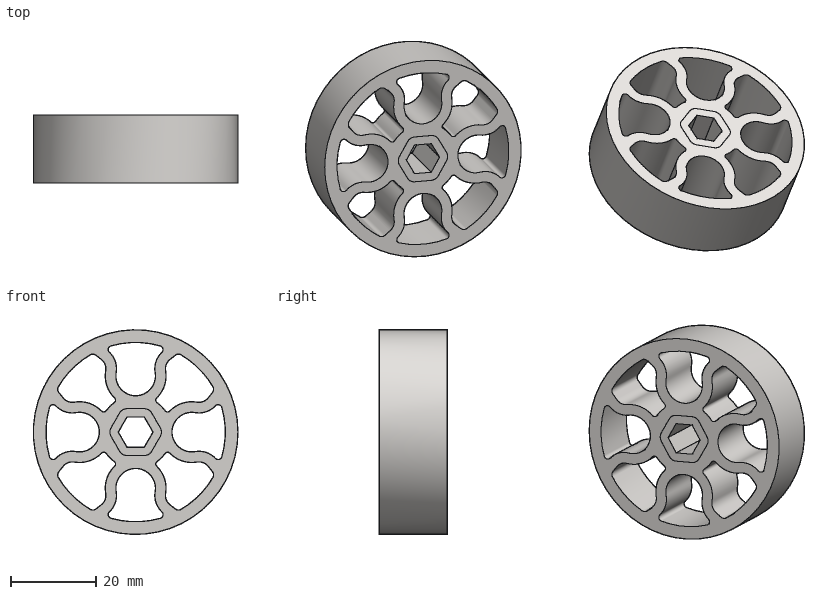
import cadquery as cq
import math

wheel_diameter = 48.0
wheel_width = 16.0
rim_inner_radius = 21.0
hub_radius = 8.55
pocket_pairs = 4

spoke_thickness = 2.55
bulb_radius = 4.6
bend_radius = 5.3
bend_center_radius = 17.75
bulb_corner_radius = 0.85
kite_corner_radius = 1.2
kite_corner_angle = 14.5
kite_tip_radius = 0.7

hex_sides = 6
insert_across_flats = 11.0
insert_corner_radius = 2.0
bore_across_flats = 7.0

pair_angle = 360 / pocket_pairs
half_pair_angle = pair_angle / 2
kite_bulb_radius = bulb_radius + spoke_thickness
kite_bend_radius = bend_radius - spoke_thickness
axle = cq.Vector(0, 0, 0)
back_plane = cq.Workplane("XZ", origin=(0, wheel_width / 2, 0))


def polar(radius, angle):
    """Point in the XZ plane at an angle (degrees) from +Z towards +X."""
    turn = math.radians(angle)
    return cq.Vector(radius * math.sin(turn), 0, radius * math.cos(turn))


def angle_of(point):
    """Angle in degrees of a point, measured from +Z towards +X."""
    return math.degrees(math.atan2(point.x, point.z))


def toward(start, target, distance):
    """Point at a distance from start along the ray to target."""
    return start + (target - start).normalized() * distance


def center_from_axle(axle_distance, other, other_distance, side):
    """Point at given distances from the axle and another point, beyond it (+1) or before it (-1) in angle."""
    cosine = (axle_distance**2 + other.Length**2 - other_distance**2) / (2 * axle_distance * other.Length)
    return polar(axle_distance, angle_of(other) + side * math.degrees(math.acos(cosine)))


def arc(center, start, end):
    """Shorter arc from start to end about center."""
    middle = toward(center, (start + end) * 0.5, (start - center).Length)
    return cq.Edge.makeThreePointArc(start, middle, end)


def pocket_cutter(half_outline):
    """Full-width prism from half an outline, mirrored about the Z axis."""
    mirrored_half = [edge.mirror("YZ") for edge in half_outline]
    outline = cq.Wire.assembleEdges(half_outline + mirrored_half[::-1])
    prism = cq.Solid.extrudeLinear(outline, [], cq.Vector(0, wheel_width, 0)).clean()
    return prism.translate(cq.Vector(0, -wheel_width / 2, 0))


bulb_center = polar(hub_radius + bulb_radius, 0)
bend_center = center_from_axle(bend_center_radius, bulb_center, bulb_radius + bend_radius, 1)


def bulb_pocket():
    corner_center = center_from_axle(
        rim_inner_radius - bulb_corner_radius, bend_center, bend_radius + bulb_corner_radius, -1
    )
    inner_end = polar(hub_radius, 0)
    bulb_to_bend = toward(bulb_center, bend_center, bulb_radius)
    bend_to_corner = toward(bend_center, corner_center, bend_radius)
    corner_to_rim = toward(axle, corner_center, rim_inner_radius)
    outer_end = polar(rim_inner_radius, 0)
    return pocket_cutter([
        arc(bulb_center, inner_end, bulb_to_bend),
        arc(bend_center, bulb_to_bend, bend_to_corner),
        arc(corner_center, bend_to_corner, corner_to_rim),
        arc(axle, corner_to_rim, outer_end),
    ])


def kite_pocket():
    """Kite pocket turned onto +Z, so the neighbouring bulb lies half a pair away."""
    near_bulb = polar(bulb_center.Length, half_pair_angle)
    near_bend = polar(bend_center_radius, half_pair_angle - angle_of(bend_center))
    tip_center = center_from_axle(
        hub_radius + kite_tip_radius, near_bulb, kite_bulb_radius + kite_tip_radius, -1
    )
    corner_center = polar(rim_inner_radius - kite_corner_radius, kite_corner_angle)

    bend_to_corner = corner_center - near_bend
    lean = math.degrees(math.acos((kite_bend_radius - kite_corner_radius) / bend_to_corner.Length))
    outward = polar(1, angle_of(bend_to_corner) + lean)
    line_start = near_bend + outward * kite_bend_radius
    line_end = corner_center + outward * kite_corner_radius

    inner_end = polar(hub_radius, 0)
    hub_to_tip = toward(axle, tip_center, hub_radius)
    tip_to_bulb = toward(near_bulb, tip_center, kite_bulb_radius)
    bulb_to_bend = toward(near_bulb, near_bend, kite_bulb_radius)
    corner_to_rim = toward(axle, corner_center, rim_inner_radius)
    outer_end = polar(rim_inner_radius, 0)
    return pocket_cutter([
        arc(axle, inner_end, hub_to_tip),
        arc(tip_center, hub_to_tip, tip_to_bulb),
        arc(near_bulb, tip_to_bulb, bulb_to_bend),
        arc(near_bend, bulb_to_bend, line_start),
        cq.Edge.makeLine(line_start, line_end),
        arc(corner_center, line_end, corner_to_rim),
        arc(axle, corner_to_rim, outer_end),
    ])


def hex_prism(across_flats):
    across_corners = across_flats / math.cos(math.pi / hex_sides)
    return back_plane.polygon(hex_sides, across_corners).extrude(wheel_width)


def insert_blank():
    """Solid hexagon with rounded corners, also the shape of its seat in the wheel."""
    return hex_prism(insert_across_flats).edges("|Y").fillet(insert_corner_radius)


def make_wheel():
    disc = back_plane.circle(wheel_diameter / 2).extrude(wheel_width)
    body = disc.cut(insert_blank())
    bulb = bulb_pocket()
    kite = kite_pocket()
    for index in range(pocket_pairs):
        turn = index * pair_angle
        body = body.cut(cq.Workplane(bulb.rotate((0, 0, 0), (0, 1, 0), turn)))
        body = body.cut(cq.Workplane(kite.rotate((0, 0, 0), (0, 1, 0), turn + half_pair_angle)))
    return body.solids()


def make_insert():
    return insert_blank().cut(hex_prism(bore_across_flats)).solids()


wheel = make_wheel()
insert = make_insert()

result = cq.Compound.makeCompound([wheel.val(), insert.val()])